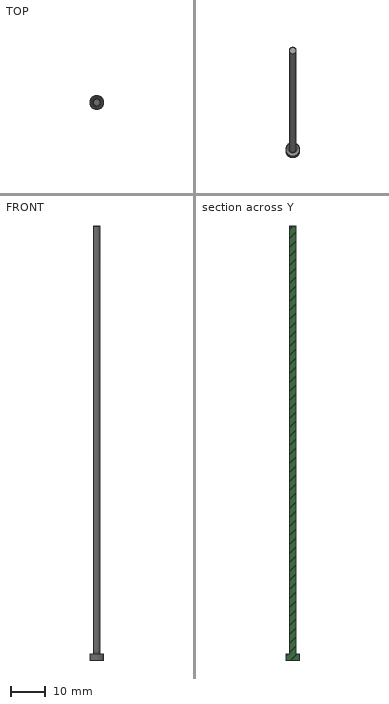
import cadquery as cq

overall_length = 125.0
head_diameter = 4.0
head_height = 2.0
shaft_diameter = 2.0

shaft_length = overall_length - head_height


def make_head():
    """Round disc head with its underside on Z = 0."""
    return cq.Workplane("XY").circle(head_diameter / 2).extrude(head_height)


def add_shaft(body):
    """Plain round shaft rising from the centre of the head."""
    return body.faces(">Z").workplane().circle(shaft_diameter / 2).extrude(shaft_length)


result = add_shaft(make_head())